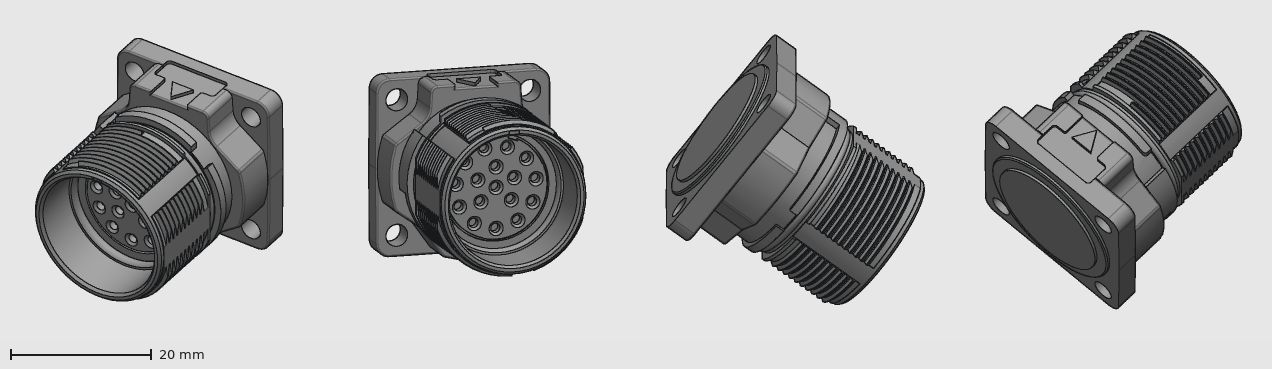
import cadquery as cq
import math

back_disc_y = 1.0
back_collar_y = 0.57
flange_front_y = -3.6
body_front_y = -9.8
shoulder_front_y = -13.8
groove_front_y = -15.45
lead_ring_front_y = -15.95
land_front_y = -27.4
mouth_y = -28.4

back_disc_radius = 9.25
back_collar_radius = 11.2
back_collar_chamfer = 0.2
barrel_radius = 10.75
land_radius = 10.92
ring_radius = 11.5
crest_radius = 11.45
mouth_chamfer = 0.4

flange_half = 13.0
flange_side_draft = 0.1
flange_corner_radius = 2.0
flange_edge_fillet = 0.25
mount_hole_offset = 9.9
mount_hole_diameter = 3.2

body_bulge = 12.8
body_corner = (12.0, 4.9)
body_waist = 7.85
body_ear_top_half_width = 6.65
body_ear_foot_half_width = 6.95
body_ear_blend_radius = 2.9
body_ear_corner_radius = 1.0
body_corner_radius = 0.8
body_edge_fillet = 0.25

label_depth = 0.5
label_half_width = 5.1
label_back_y = -2.1
label_front_y = -6.0
label_corner_radius = 0.6
label_neck_half_width = 3.05
label_neck_radius = 0.3
arrow_half_width = 1.8
arrow_back_y = -6.15
arrow_tip_y = -9.3

groove_radius = 10.5
seal_width = 1.0
seal_back_y = -14.0

top_land_half_width = 6.45
lower_land_top_angle = 37.1
bottom_gap_x = (0.3, 3.5)

thread_pitch = 1.0
thread_start_y = -16.65
thread_turns = 10.06
thread_base_width = 0.9
thread_crest_width = 0.12
thread_overlap = 0.08

tab_length = 1.35
tab_corner_radius = 0.6
wide_tab_bottom_z = -1.65

bore_mouth_radius = 9.85
bore_radius = 9.5
bore_mouth_chamfer_length = 0.5
ledge_radius = 9.15
lip_radius = 8.75
socket_depth = 8.9
ledge_height = 1.7
insert_groove_radii = (7.55, 7.85)
insert_groove_depth = 0.6
keyway_half_width = 0.75
keyway_radius = 10.25
keyway_length = 0.2
insert_notch_radius = 7.25
insert_notch_half_width = 0.75
insert_notch_angles = (-20.0, 0.0, 20.0)

outer_contact_count = 11
outer_contact_circle_radius = 6.0
inner_contact_circle_radius = 3.0
inner_contact_steps = (-2, -1, 0, 1, 2)
contact_mouth_diameter = 2.1
contact_bore_diameter = 1.35
contact_cone_depth = 0.4
contact_depth = 1.5

reach = 2 * flange_half


def plane_at(y):
    """Plane at the given Y with local x along X, local y along Z and its normal toward -Y."""
    return cq.Plane(origin=(0, y, 0), xDir=(1, 0, 0), normal=(0, -1, 0))


def cylinder(radius, y_back, y_front):
    return cq.Workplane(plane_at(y_back)).circle(radius).extrude(y_back - y_front)


def tube(outer, inner, y_back, y_front):
    return cylinder(outer, y_back, y_front).cut(cylinder(inner, y_back, y_front))


def block(x_range, y_range, z_range):
    size = [max(r) - min(r) for r in (x_range, y_range, z_range)]
    corner = (min(x_range), min(y_range), min(z_range))
    return cq.Workplane("XY").box(*size, centered=False).translate(corner)


def make_flange():
    side = flange_half
    end = flange_half - flange_side_draft
    outline = [(-end, -side), (end, -side), (side, 0), (end, side), (-end, side), (-side, 0)]
    flange = cq.Workplane(plane_at(0)).polyline(outline).close().extrude(-flange_front_y)
    flange = flange.edges("|Y").edges(">Z or <Z").fillet(flange_corner_radius)
    flange = flange.faces("<Y").edges().fillet(flange_edge_fillet)
    collar = cylinder(back_collar_radius, back_collar_y, 0)
    collar = collar.faces(">Y").chamfer(back_collar_chamfer)
    disc = cylinder(back_disc_radius, back_disc_y, 0)
    return flange.union(collar).union(disc)


def make_body():
    far, near = body_corner
    waist = body_waist
    ear_top = body_ear_top_half_width
    ear_foot = body_ear_foot_half_width
    flank_slope = (waist - near) / (far - waist)
    ear_foot_z = near + (far - ear_foot) * flank_slope
    body = (
        cq.Workplane(plane_at(flange_front_y))
        .moveTo(-ear_top, flange_half)
        .lineTo(ear_top, flange_half)
        .lineTo(ear_foot, ear_foot_z)
        .lineTo(far, near)
        .threePointArc((body_bulge, 0), (far, -near))
        .lineTo(waist, -waist)
        .lineTo(near, -far)
        .threePointArc((0, -body_bulge), (-near, -far))
        .lineTo(-waist, -waist)
        .lineTo(-far, -near)
        .threePointArc((-body_bulge, 0), (-far, near))
        .lineTo(-ear_foot, ear_foot_z)
        .close()
        .extrude(flange_front_y - body_front_y)
    )

    def edges_at(x, z):
        mid_y = (flange_front_y + body_front_y) / 2
        return [cq.selectors.NearestToPointSelector((s * x, mid_y, z)) for s in (-1, 1)]

    roundings = (
        (ear_top, flange_half, body_ear_corner_radius),
        (ear_foot, ear_foot_z, body_ear_blend_radius),
        (far, near, body_corner_radius),
        (far, -near, body_corner_radius),
        (near, -far, body_corner_radius),
    )
    for x, z, radius in roundings:
        for selector in edges_at(x, z):
            body = body.edges("|Y").edges(selector).fillet(radius)
    body = body.cut(make_label_recess())
    return body.faces("<Y").edges().fillet(body_edge_fillet)


def make_label_recess():
    floor_z = flange_half - label_depth
    panel = block((-label_half_width, label_half_width), (label_front_y, label_back_y), (floor_z, reach))
    panel = panel.edges("|Z").fillet(label_corner_radius)
    neck_y = (body_front_y - 1, (label_front_y + label_back_y) / 2)
    neck = block((-label_neck_half_width, label_neck_half_width), neck_y, (floor_z, reach))
    arrow = (
        cq.Workplane("XY", origin=(0, 0, floor_z))
        .polyline([(-arrow_half_width, arrow_back_y), (arrow_half_width, arrow_back_y), (0, arrow_tip_y)])
        .close()
        .extrude(label_depth)
    )
    recess = panel.union(neck)
    for x in (-label_neck_half_width, label_neck_half_width):
        neck_corner = cq.selectors.NearestToPointSelector((x, label_front_y, floor_z + reach / 4))
        recess = recess.edges("|Z").edges(neck_corner).fillet(label_neck_radius)
    return recess.cut(arrow)


def make_barrel():
    barrel = cylinder(barrel_radius, body_front_y, mouth_y).faces("<Y").chamfer(mouth_chamfer)
    barrel = barrel.cut(tube(reach, groove_radius, shoulder_front_y, groove_front_y))
    seal_front_y = seal_back_y - seal_width
    seal = (
        cq.Workplane("XY")
        .moveTo(0, seal_back_y)
        .lineTo(groove_radius, seal_back_y)
        .threePointArc((barrel_radius, (seal_back_y + seal_front_y) / 2), (groove_radius, seal_front_y))
        .lineTo(0, seal_front_y)
        .close()
        .revolve(360, (0, 0, 0), (0, 1, 0))
    )
    return barrel.union(seal)


def make_lower_sectors(y_front, y_back):
    """Left and right sectors that hold the lower lands, with the bottom gap between them."""
    angle = math.radians(lower_land_top_angle)
    top_x = reach * math.cos(angle)
    top_z = reach * math.sin(angle)
    gap_left, gap_right = bottom_gap_x
    left = [(gap_left, 0), (0, 0), (-top_x, top_z), (-reach, -reach), (gap_left, -reach)]
    right = [(gap_left, 0), (0, 0), (top_x, top_z), (reach, -reach), (gap_right, -reach), (gap_right, 0)]
    start = cq.Workplane(plane_at(y_back))
    left_sector = start.polyline(left).close().extrude(y_back - y_front)
    right_sector = start.polyline(right).close().extrude(y_back - y_front)
    return left_sector, right_sector


def make_tabs():
    """Raised tabs around the shoulder, just behind the seal."""
    back_y = shoulder_front_y + tab_length
    tab_y = (shoulder_front_y, back_y)
    ring = tube(ring_radius, groove_radius, body_front_y, shoulder_front_y)

    top = block((-top_land_half_width, top_land_half_width), tab_y, (0, reach))
    top = top.edges("|Z and <X and >Y").fillet(tab_corner_radius)
    left, right = make_lower_sectors(shoulder_front_y, back_y)
    wide, _ = make_lower_sectors(shoulder_front_y, body_front_y)
    wide_y = (shoulder_front_y, body_front_y)
    wide = wide.intersect(block((-reach, 0), wide_y, (wide_tab_bottom_z, reach)))
    return ring.intersect(top.union(left).union(right).union(wide))


def make_thread_ridge():
    """Single-start right-hand ridge that starts at the top and advances toward the mouth."""
    base_radius = land_radius - thread_overlap
    length = thread_pitch * thread_turns
    helix = cq.Wire.makeHelix(thread_pitch, length, base_radius)
    half_base = thread_base_width / 2
    half_crest = thread_crest_width / 2
    ridge = (
        cq.Workplane("XZ")
        .polyline([
            (base_radius, -half_base),
            (crest_radius, -half_crest),
            (crest_radius, half_crest),
            (base_radius, half_base),
        ])
        .close()
        .sweep(cq.Workplane(obj=helix), isFrenet=True)
    )
    ridge = ridge.rotate((0, 0, 0), (1, 0, 0), 90)
    ridge = ridge.rotate((0, 0, 0), (0, 1, 0), -90)
    return ridge.translate((0, thread_start_y, 0))


def make_threaded_lands():
    """Raised lands with a lead ring and thread, parted by gaps and flush with the barrel's sides."""
    land_y = (land_front_y, groove_front_y)
    lands = tube(land_radius, groove_radius, groove_front_y, land_front_y)
    lands = lands.union(tube(ring_radius, groove_radius, groove_front_y, lead_ring_front_y))
    lands = lands.union(make_thread_ridge())
    top = block((-top_land_half_width, top_land_half_width), land_y, (0, reach))
    left, right = make_lower_sectors(land_front_y, groove_front_y)
    width_limit = block((-barrel_radius, barrel_radius), land_y, (-reach, reach))
    sectors = top.union(left).union(right).intersect(width_limit)
    return lands.intersect(sectors)


def make_socket():
    """Cavity in front of the insert, with a rounded lip, a key notch and the groove around the insert."""
    floor_y = mouth_y + socket_depth
    ledge_y = floor_y - ledge_height
    cavity = (
        cq.Workplane("XY")
        .moveTo(0, mouth_y)
        .lineTo(bore_mouth_radius, mouth_y)
        .lineTo(bore_radius, mouth_y + bore_mouth_chamfer_length)
        .lineTo(bore_radius, ledge_y)
        .lineTo(ledge_radius, ledge_y)
        .threePointArc((lip_radius, (ledge_y + floor_y) / 2), (ledge_radius, floor_y))
        .lineTo(0, floor_y)
        .close()
        .revolve(360, (0, 0, 0), (0, 1, 0))
    )
    keyway_x = (-keyway_half_width, keyway_half_width)
    keyway = block(keyway_x, (mouth_y, mouth_y + keyway_length), (0, keyway_radius))
    groove_inner, groove_outer = insert_groove_radii
    groove = tube(groove_outer, groove_inner, floor_y + insert_groove_depth, floor_y)
    notch_y = (floor_y, floor_y + insert_groove_depth)
    socket = cavity.union(keyway).union(groove)
    for angle in insert_notch_angles:
        notch = block((-insert_notch_half_width, insert_notch_half_width), notch_y,
                      (insert_notch_radius, groove_inner + 0.1))
        socket = socket.union(notch.rotate((0, 0, 0), (0, 1, 0), angle))
    return socket


def polar_point(radius, degrees):
    angle = math.radians(degrees)
    return (radius * math.cos(angle), radius * math.sin(angle))


def contact_points():
    """Centre contact, outer circle, and an inner circle set at twice the outer angular step."""
    step = 360 / outer_contact_count
    outer = [polar_point(outer_contact_circle_radius, -90 + i * step) for i in range(outer_contact_count)]
    inner = [polar_point(inner_contact_circle_radius, 90 + 2 * i * step) for i in inner_contact_steps]
    return [(0, 0)] + outer + inner


def make_contacts():
    floor_y = mouth_y + socket_depth
    mouth_radius = contact_mouth_diameter / 2
    bore = contact_bore_diameter / 2
    hole = (
        cq.Workplane("XY")
        .polyline([
            (0, floor_y),
            (mouth_radius, floor_y),
            (bore, floor_y + contact_cone_depth),
            (bore, floor_y + contact_depth),
            (0, floor_y + contact_depth),
        ])
        .close()
        .revolve(360, (0, 0, 0), (0, 1, 0))
        .val()
    )
    holes = [hole.moved(cq.Location((x, 0, z))) for x, z in contact_points()]
    return cq.Workplane(obj=cq.Compound.makeCompound(holes))


def make_mount_holes():
    centres = [(sx * mount_hole_offset, sz * mount_hole_offset) for sx in (-1, 1) for sz in (-1, 1)]
    return cq.Workplane(plane_at(back_disc_y)).pushPoints(centres).circle(mount_hole_diameter / 2).extrude(reach)


result = make_flange().union(make_body()).cut(make_label_recess())
result = result.cut(make_mount_holes())
result = result.union(make_barrel()).union(make_tabs()).union(make_threaded_lands())
result = result.cut(make_socket())
result = result.cut(make_contacts())